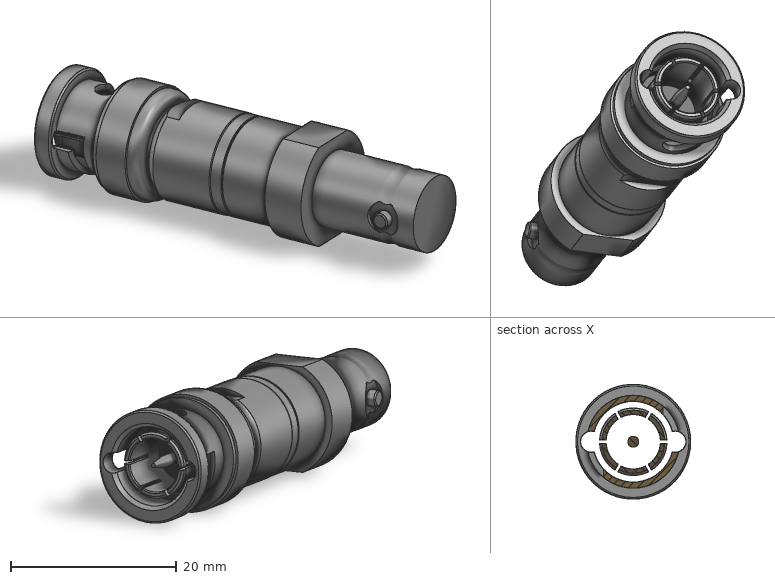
import cadquery as cq
LENGTH = 53.0
CUT_REACH = 7.4

FLANGE_RADIUS = 6.95
FLANGE_END = 2.35
FLANGE_CHAMFER = 0.2
SLEEVE_RADIUS = 5.6
SLEEVE_BORE_RADIUS = 4.9
BORE_CHAMFER = 0.5
COLLAR_START = 8.55
GRIP_START = 9.15
GRIP_END = 13.3
GRIP_RADIUS = 7.25
CROWN_RADIUS = 1.0
NUT_END = 15.0

KEYWAY_RADIUS = 1.25
KEYWAY_OFFSET = 5.1
KEYWAY_END = 4.75
LOCK_HOLE_X = 6.2
LOCK_HOLE_RADIUS = 1.55
RAMP_WIDTH = 2.2
RAMP_ANGLE = 15.0

NECK_RADIUS = 5.2
NECK_END = 15.6
NOSE_RADIUS = 5.45
NOSE_END = 16.7
FRONT_RADIUS = 6.35
FRONT_END = 24.75
STEP_LENGTH = 0.15
RING_RADIUS = 6.3
RING_END = 26.4
WRENCH_FLAT_HEIGHT = 5.5
WRENCH_FLAT_END = 18.4

CONTACT_START = 0.95
TUBE_RADIUS = 3.8
TUBE_BORE_RADIUS = 3.3
LIP_HEIGHT = 0.25
LIP_LENGTH = 1.05
TUBE_RIM_CHAMFER = 0.15
TUBE_SLIT_COUNT = 6
TUBE_SLIT_WIDTH = 0.4
TUBE_SLIT_END = 5.85
PIN_RADIUS = 0.7
PIN_TIP_RADIUS = 0.25
PIN_TAPER_END = 3.55

REAR_CHAMFER = 0.25
HEX_START = 33.35
HEX_END = 38.5
HEX_RADIUS = 7.25
HEX_FLAT_HEIGHT = 6.5
JACK_RADIUS = 4.8
STUD_X = 48.65
STUD_RADIUS = 1.0
STUD_REACH = 5.5
STUD_CHAMFER = 0.15
SPOTFACE_RADIUS = 2.15
SPOTFACE_HEIGHT = 4.3
JACK_GROOVE_WIDTH = 1.95
JACK_GROOVE_DEPTH = 0.15


def turned(profile):
    """Revolve a closed (x, radius) profile about the X axis."""
    return profile.close().revolve(360, (0, 0, 0), (1, 0, 0))


def rod(radius, start, end):
    """Cylinder on the X axis between two X positions."""
    return cq.Workplane("YZ", origin=(start, 0, 0)).circle(radius).extrude(end - start)


def block_above(start, end, height):
    """Block spanning start..end in X that removes everything above a given Z."""
    size = 2 * CUT_REACH
    return cq.Workplane("XY", origin=((start + end) / 2, 0, height)).rect(end - start, size).extrude(size)


def half_turn(shape):
    """Copy of a shape turned 180 degrees about the X axis."""
    return shape.rotate((0, 0, 0), (1, 0, 0), 180)


def nut_blank():
    """Turned nut with a raised grip, rounded rear edge and wider rear bore."""
    profile = (
        cq.Workplane("XY")
        .moveTo(0, SLEEVE_BORE_RADIUS + BORE_CHAMFER)
        .lineTo(0, FLANGE_RADIUS - FLANGE_CHAMFER)
        .lineTo(FLANGE_CHAMFER, FLANGE_RADIUS)
        .lineTo(FLANGE_END - FLANGE_CHAMFER, FLANGE_RADIUS)
        .lineTo(FLANGE_END, FLANGE_RADIUS - FLANGE_CHAMFER)
        .lineTo(FLANGE_END, SLEEVE_RADIUS)
        .lineTo(COLLAR_START, SLEEVE_RADIUS)
        .lineTo(COLLAR_START, FLANGE_RADIUS)
        .lineTo(GRIP_START, FLANGE_RADIUS)
        .lineTo(GRIP_START, GRIP_RADIUS)
        .lineTo(GRIP_END, GRIP_RADIUS)
        .lineTo(GRIP_END, FLANGE_RADIUS)
        .lineTo(NUT_END - CROWN_RADIUS, FLANGE_RADIUS)
        .radiusArc((NUT_END, FLANGE_RADIUS - CROWN_RADIUS), CROWN_RADIUS)
        .lineTo(NUT_END, NECK_RADIUS)
        .lineTo(COLLAR_START, NECK_RADIUS)
        .lineTo(COLLAR_START, SLEEVE_BORE_RADIUS)
        .lineTo(BORE_CHAMFER, SLEEVE_BORE_RADIUS)
    )
    return turned(profile)


def bayonet_slot():
    """Keyway along +Y, slanted ramp towards +Z and the round locking hole at its end."""
    keyway = cq.Workplane("YZ").center(KEYWAY_OFFSET, 0).circle(KEYWAY_RADIUS).extrude(KEYWAY_END)
    hole_center = (LOCK_HOLE_X, 0, 0)
    lock_hole = cq.Workplane("XY", origin=hole_center).circle(LOCK_HOLE_RADIUS).extrude(CUT_REACH)
    ramp = (
        cq.Workplane("XY", origin=(LOCK_HOLE_X, 0, -KEYWAY_RADIUS))
        .center(LOCK_HOLE_RADIUS - RAMP_WIDTH / 2, CUT_REACH / 2)
        .rect(RAMP_WIDTH, CUT_REACH)
        .extrude(KEYWAY_RADIUS + CUT_REACH)
        .rotate(hole_center, (LOCK_HOLE_X, 0, 1), RAMP_ANGLE)
    )
    return keyway.union(lock_hole).union(ramp)


def make_coupling_nut():
    slot = bayonet_slot()
    return nut_blank().cut(slot).cut(half_turn(slot))


def front_barrel():
    """Neck that the nut turns on, conical nose, barrel and narrow end ring."""
    profile = (
        cq.Workplane("XY")
        .moveTo(COLLAR_START, 0)
        .lineTo(COLLAR_START, NECK_RADIUS)
        .lineTo(NECK_END, NECK_RADIUS)
        .lineTo(NECK_END, NOSE_RADIUS)
        .lineTo(NOSE_END, FRONT_RADIUS)
        .lineTo(FRONT_END, FRONT_RADIUS)
        .lineTo(FRONT_END + STEP_LENGTH, RING_RADIUS)
        .lineTo(RING_END, RING_RADIUS)
        .lineTo(RING_END, 0)
    )
    flat = block_above(NECK_END, WRENCH_FLAT_END, WRENCH_FLAT_HEIGHT)
    return turned(profile).cut(flat).cut(half_turn(flat))


def contact_tube():
    """Thin tube in front of the neck, slit into spring fingers that end in a raised lip."""
    profile = (
        cq.Workplane("XY")
        .moveTo(CONTACT_START, TUBE_BORE_RADIUS + TUBE_RIM_CHAMFER)
        .lineTo(CONTACT_START, TUBE_RADIUS)
        .lineTo(CONTACT_START + LIP_HEIGHT, TUBE_RADIUS + LIP_HEIGHT)
        .lineTo(CONTACT_START + LIP_LENGTH - LIP_HEIGHT, TUBE_RADIUS + LIP_HEIGHT)
        .lineTo(CONTACT_START + LIP_LENGTH, TUBE_RADIUS)
        .lineTo(COLLAR_START, TUBE_RADIUS)
        .lineTo(COLLAR_START, TUBE_BORE_RADIUS)
        .lineTo(CONTACT_START + TUBE_RIM_CHAMFER, TUBE_BORE_RADIUS)
    )
    tube = turned(profile)
    slit = cq.Workplane("XY").box(
        TUBE_SLIT_END, CUT_REACH, TUBE_SLIT_WIDTH, centered=(False, False, True)
    )
    for index in range(TUBE_SLIT_COUNT):
        tube = tube.cut(slit.rotate((0, 0, 0), (1, 0, 0), index * 360 / TUBE_SLIT_COUNT))
    return tube


def center_contact():
    """Tapered centre pin standing on the front face of the neck."""
    profile = (
        cq.Workplane("XY")
        .moveTo(CONTACT_START, 0)
        .lineTo(CONTACT_START, PIN_TIP_RADIUS)
        .lineTo(PIN_TAPER_END, PIN_RADIUS)
        .lineTo(COLLAR_START, PIN_RADIUS)
        .lineTo(COLLAR_START, 0)
    )
    return turned(profile)


def make_front_housing():
    return front_barrel().union(contact_tube()).union(center_contact())


def rear_barrel():
    """Barrel with a chamfered front edge that leaves a groove behind the front ring."""
    return rod(RING_RADIUS, RING_END, HEX_START).faces("<X").chamfer(REAR_CHAMFER)


def wrench_collar():
    """Round collar with two parallel flats."""
    flat = block_above(HEX_START, HEX_END, HEX_FLAT_HEIGHT)
    return rod(HEX_RADIUS, HEX_START, HEX_END).cut(flat).cut(half_turn(flat))


def jack_groove():
    """Shallow round-bottomed ring groove in line with the studs."""
    half_width = JACK_GROOVE_WIDTH / 2
    profile = (
        cq.Workplane("XY")
        .moveTo(STUD_X - half_width, JACK_RADIUS)
        .threePointArc((STUD_X, JACK_RADIUS - JACK_GROOVE_DEPTH), (STUD_X + half_width, JACK_RADIUS))
        .lineTo(STUD_X + half_width, CUT_REACH)
        .lineTo(STUD_X - half_width, CUT_REACH)
    )
    return turned(profile)


def stud_and_spotface():
    """Bayonet stud on the -Y side and the round flat cut around it."""
    base = cq.Workplane("XZ", origin=(STUD_X, 0, 0))
    stud = base.circle(STUD_RADIUS).extrude(STUD_REACH).faces("<Y").chamfer(STUD_CHAMFER)
    spotface = base.workplane(offset=SPOTFACE_HEIGHT).circle(SPOTFACE_RADIUS).extrude(CUT_REACH)
    return stud, spotface


def make_rear_housing():
    stud, spotface = stud_and_spotface()
    jack = rod(JACK_RADIUS, HEX_END, LENGTH).cut(jack_groove())
    jack = jack.cut(spotface).cut(half_turn(spotface))
    jack = jack.union(stud).union(half_turn(stud))
    return rear_barrel().union(wrench_collar()).union(jack)


coupling_nut = make_coupling_nut()
front_housing = make_front_housing()
rear_housing = make_rear_housing()

result = cq.Compound.makeCompound([coupling_nut.val(), front_housing.val(), rear_housing.val()])